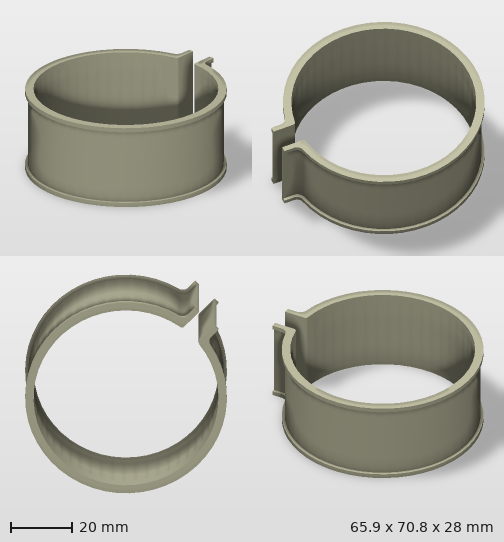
import cadquery as cq
import math

total_length = 70.8
height = 28.0
rim_height = 1.5
rim_radius = 32.95
rim_projection = 1.0
inner_radius = 30.2
gap_width = 7.0
rim_tab_thickness = 1.8
rim_root_fillet = 2.5
band_root_fillet = 3.0
inner_corner_fillet = 1.0

half_gap = gap_width / 2
tab_end = total_length - rim_radius
band_radius = rim_radius - rim_projection
band_tab_thickness = rim_tab_thickness - rim_projection
band_height = height - 2 * rim_height


def round_vertical_edge(body, x, circle_radius, fillet_radius):
    """Round the vertical edge where a plane at x meets a circle."""
    y = math.sqrt(circle_radius**2 - x**2)
    middle = body.val().BoundingBox().center
    edge = cq.selectors.NearestToPointSelector((x, y, middle.z))
    return body.edges("|Z").edges(edge).fillet(fillet_radius)


def clamp_layer(bottom, layer_height, outer_radius, tab_thickness, root_fillet):
    """Make one height of the split ring with its pair of tabs."""
    tab_outside = half_gap + tab_thickness
    plane = cq.Workplane("XY", origin=(0, 0, bottom))
    disc = plane.circle(outer_radius).extrude(layer_height)
    tabs = (
        plane.center(0, tab_end / 2)
        .rect(2 * tab_outside, tab_end)
        .extrude(layer_height)
    )
    bore = plane.circle(inner_radius).extrude(layer_height)
    gap = (
        plane.center(0, tab_end / 2)
        .rect(gap_width, tab_end)
        .extrude(layer_height)
    )
    layer = disc.union(tabs).cut(bore).cut(gap)
    for side in (-1, 1):
        layer = round_vertical_edge(layer, side * tab_outside, outer_radius, root_fillet)
        layer = round_vertical_edge(layer, side * half_gap, inner_radius, inner_corner_fillet)
    return layer


result = clamp_layer(rim_height, band_height, band_radius, band_tab_thickness, band_root_fillet)
for rim_bottom in (0, height - rim_height):
    rim = clamp_layer(rim_bottom, rim_height, rim_radius, rim_tab_thickness, rim_root_fillet)
    result = result.union(rim)